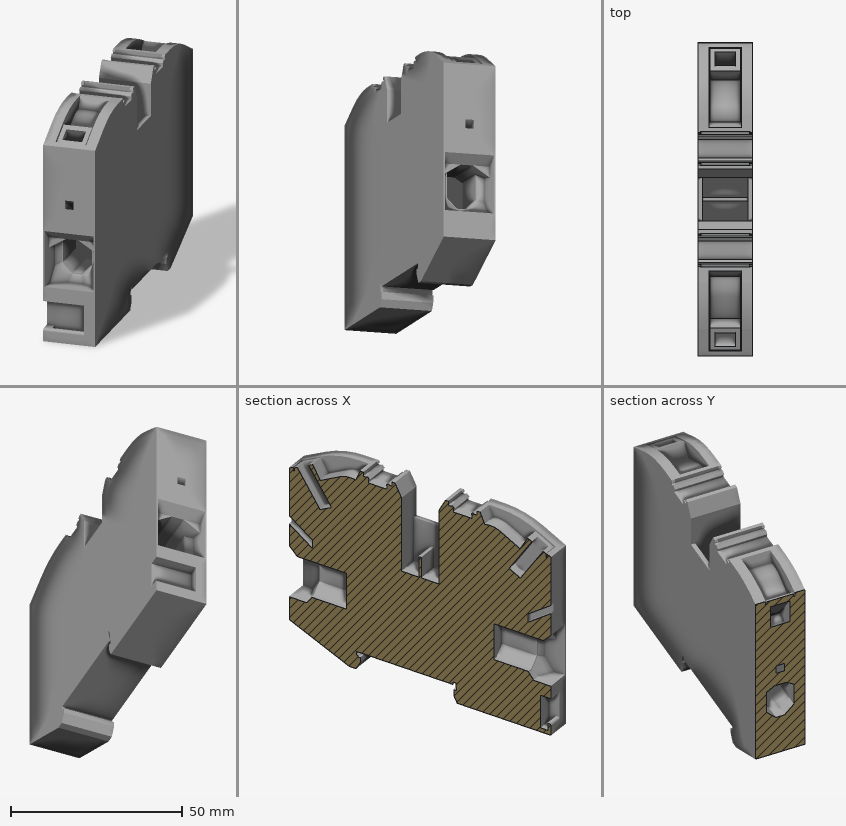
import cadquery as cq
import math


THICKNESS = 16.0
LENGTH = 91.6
HEIGHT = 68.25
HALF_X = THICKNESS / 2
HALF_Y = LENGTH / 2
OVERCUT = 2.0

SHOULDER_Y = 24.4
SHOULDER_ANGLE = math.radians(27.0)
SHOULDER_RADIUS = 30.0
SHOULDER_END_Y = SHOULDER_Y + SHOULDER_RADIUS * math.sin(SHOULDER_ANGLE)
SHOULDER_END_Z = HEIGHT - SHOULDER_RADIUS * (1 - math.cos(SHOULDER_ANGLE))
CORNER_Z = SHOULDER_END_Z - (HALF_Y - SHOULDER_END_Y) * math.tan(SHOULDER_ANGLE)

LIP_Z = 67.55
NOTCH_FLOOR_Z = 66.85
NOTCH_HALF_WIDTH = 4.9
BARB_Z = 66.3
GROOVE_FLOOR_Z = 65.15
GROOVE_FLOOR_HALF_WIDTH = 3.15
GROOVE_Y = 14.83
GROOVE_HALF = [
    (4.75, HEIGHT),
    (4.4, LIP_Z),
    (NOTCH_HALF_WIDTH, LIP_Z),
    (NOTCH_HALF_WIDTH, NOTCH_FLOOR_Z),
    (4.1, NOTCH_FLOOR_Z),
    (3.6, 67.15),
    (2.7, BARB_Z),
    (GROOVE_FLOOR_HALF_WIDTH, BARB_Z),
    (GROOVE_FLOOR_HALF_WIDTH, GROOVE_FLOOR_Z),
]
LIP_FREE_HALF_X = 7.1

SLOT_HALF_Y = 6.4
SLOT_MOUTH_HALF_Y = 8.8
SLOT_MOUTH_Z = 63.8
SLOT_FLOOR_Z = 53.85
BRIDGE_WELL_HALF_X = 6.6
BRIDGE_WELL_DEPTH = 15.0
BRIDGE_WEB = 1.0
BRIDGE_WEB_DROP = 8.0

RAIL_SEAT_Z = 5.95
FOOT_TOE_Y = 24.8
FOOT_SLOPE_Z = 9.0
FOOT_HOOK_Z = 4.4
SPRING_FOOT = [
    (-12.9, 0),
    (-11.7, 2.2),
    (-11.7, FOOT_HOOK_Z),
    (-12.6, FOOT_HOOK_Z),
    (-12.3, 6.8),
    (-11.45, 6.8),
    (-11.45, RAIL_SEAT_Z),
]
FIXED_FOOT = [
    (22.2, RAIL_SEAT_Z),
    (22.2, 5.1),
    (21.5, FOOT_HOOK_Z),
    (20.85, FOOT_HOOK_Z),
    (20.85, 2.75),
    (22.4, 0),
    (FOOT_TOE_Y, 0),
]
SPRING_SLOT_DEPTH = 1.5
SPRING_SLOT_MOUTH_OUTER = SPRING_FOOT[4]
SPRING_SLOT_MOUTH_INNER = SPRING_FOOT[5]
SPRING_SLOT_INNER_END = (-10.6, 9.3)
SPRING_SLOT_TIP = (-11.0, 9.8)
SPRING_SLOT_OUTER_END = (-11.6, 9.5)
SPRING_SLOT_BEND = (-12.2, 8.0)

WINDOW_HALF_X = 4.7
WINDOW_INNER_Y = 21.0
WINDOW_OUTER_Y = 44.3
SHELF_INNER_Y = 37.55
SHELF_RECESS = 0.25
FLOOR_GAP = 0.3
FLOOR_GAP_DEPTH = 1.0
WELL_BOTTOM = (34.9, 60.4)
WELL_CREASE = (28.5, 63.75)
WELL_RIDGE = (22.6, 64.65)
WELL_ARC_MID = (25.7, 64.75)
LATCH_HALF_X = 3.05
LATCH_OUTER_Y = 43.1
LATCH_INNER_Y = 39.25
LATCH_DEPTH = 12.0
LATCH_ANGLE = math.radians(34.0)

ENTRY_HALF_X = 7.55
ENTRY_SIDE_TAPER = 0.17
ENTRY_FLOOR_Z = 16.95
ENTRY_TOP_Z = 34.3
ENTRY_CEILING_Z = 31.5
CORNER_PLATE_DEPTH = 2.8
FUNNEL_DEPTH = 7.8
FUNNEL_FLARE = 1.25
THROAT_HALF_X = 4.7
THROAT_FLOOR_Z = 19.1
THROAT_FLOOR_HALF_X = 1.5
THROAT_TOP_HALF_X = 1.9
THROAT_SHOULDER_Z = 29.75
THROAT_LEDGE = 0.3
THROAT_DEPTH = 20.0
OCTAGON_HALF_TURN = math.radians(22.5)

PROBE_SIZE = 2.65
PROBE_Z = 43.2
PROBE_ANGLE = math.radians(35.0)
PROBE_DEPTH = 8.0

LABEL_END_X = 4.65
LABEL_FLOOR_Z = 3.95
LABEL_TOP_Z = 12.5
LABEL_DEPTH = 3.6
LABEL_LIP_RADIUS = 0.8
LABEL_LIP_THICKNESS = 1.2
TRENCH_START_X = -5.6
TRENCH_FLOOR_Z = 1.5


def surface_z(y):
    """Height of the straight shoulder slope at distance y from the mid-plane."""
    return CORNER_Z + (HALF_Y - y) * math.tan(SHOULDER_ANGLE)


def extrude_x(sketch, x_min, x_max):
    """Extrude a closed YZ outline from x_min to x_max."""
    return sketch.extrude(x_max - x_min).translate((x_min, 0, 0))


def box(x_min, x_max, y_min, y_max, z_min, z_max):
    block = cq.Workplane("XY").box(x_max - x_min, y_max - y_min, z_max - z_min, centered=False)
    return block.translate((x_min, y_min, z_min))


def at_both_ends(cutter):
    """A cutter for the -Y end together with its mirror image for the +Y end."""
    return cutter.union(cutter.mirror("XZ"))


def groove_points(centre_y):
    """Groove outline from its +Y lip to its -Y lip."""
    rising = [(centre_y + d, z) for d, z in GROOVE_HALF]
    falling = [(centre_y - d, z) for d, z in reversed(GROOVE_HALF)]
    return rising + falling


def body():
    arc_mid_y = SHOULDER_Y + SHOULDER_RADIUS * math.sin(SHOULDER_ANGLE / 2)
    arc_mid_z = HEIGHT - SHOULDER_RADIUS * (1 - math.cos(SHOULDER_ANGLE / 2))
    slot = [
        (SLOT_MOUTH_HALF_Y, HEIGHT),
        (SLOT_HALF_Y, SLOT_MOUTH_Z),
        (SLOT_HALF_Y, SLOT_FLOOR_Z),
        (-SLOT_HALF_Y, SLOT_FLOOR_Z),
        (-SLOT_HALF_Y, SLOT_MOUTH_Z),
        (-SLOT_MOUTH_HALF_Y, HEIGHT),
    ]
    top = groove_points(GROOVE_Y) + slot + groove_points(-GROOVE_Y)
    outline = cq.Workplane("YZ").moveTo(HALF_Y, FOOT_SLOPE_Z).lineTo(HALF_Y, CORNER_Z)
    outline = outline.lineTo(SHOULDER_END_Y, SHOULDER_END_Z)
    outline = outline.threePointArc((arc_mid_y, arc_mid_z), (SHOULDER_Y, HEIGHT))
    for point in top:
        outline = outline.lineTo(*point)
    outline = outline.lineTo(-SHOULDER_Y, HEIGHT)
    outline = outline.threePointArc((-arc_mid_y, arc_mid_z), (-SHOULDER_END_Y, SHOULDER_END_Z))
    outline = outline.lineTo(-HALF_Y, CORNER_Z).lineTo(-HALF_Y, 0)
    for point in SPRING_FOOT + FIXED_FOOT:
        outline = outline.lineTo(*point)
    return extrude_x(outline.close(), -HALF_X, HALF_X)


def lip_clearance():
    """Removes the groove lips over the middle of the thickness."""
    strip = box(
        -LIP_FREE_HALF_X, LIP_FREE_HALF_X,
        GROOVE_Y - NOTCH_HALF_WIDTH, GROOVE_Y + NOTCH_HALF_WIDTH,
        LIP_Z, HEIGHT + OVERCUT,
    )
    return at_both_ends(strip)


def bridge_well():
    """Well below the bridge slot, split by a low cross web."""
    bottom_z = SLOT_FLOOR_Z - BRIDGE_WELL_DEPTH
    well = box(
        -BRIDGE_WELL_HALF_X, BRIDGE_WELL_HALF_X, -SLOT_HALF_Y, SLOT_HALF_Y, bottom_z, SLOT_FLOOR_Z
    )
    web = box(
        -BRIDGE_WELL_HALF_X, BRIDGE_WELL_HALF_X, -BRIDGE_WEB / 2, BRIDGE_WEB / 2,
        bottom_z, SLOT_FLOOR_Z - BRIDGE_WEB_DROP,
    )
    return well.cut(web)


def spring_slot():
    """Shallow slanted slot above the spring foot, in the -X face."""
    outline = (
        cq.Workplane("YZ")
        .moveTo(*SPRING_SLOT_MOUTH_INNER)
        .lineTo(*SPRING_SLOT_INNER_END)
        .threePointArc(SPRING_SLOT_TIP, SPRING_SLOT_OUTER_END)
        .lineTo(*SPRING_SLOT_BEND)
        .lineTo(*SPRING_SLOT_MOUTH_OUTER)
        .close()
    )
    return extrude_x(outline, -HALF_X, -HALF_X + SPRING_SLOT_DEPTH)


def latch_hole():
    """Rectangular hole through the window shelf, running down and towards the middle."""
    lean = LATCH_DEPTH * math.tan(LATCH_ANGLE)
    face_rise = (LATCH_OUTER_Y - LATCH_INNER_Y) * math.tan(SHOULDER_ANGLE)
    outer_z = surface_z(LATCH_OUTER_Y)
    inner_z = outer_z + face_rise
    outline = [
        (LATCH_OUTER_Y, outer_z),
        (LATCH_INNER_Y, inner_z),
        (LATCH_INNER_Y - lean, inner_z - LATCH_DEPTH),
        (LATCH_OUTER_Y - lean, outer_z - LATCH_DEPTH),
    ]
    return extrude_x(cq.Workplane("YZ").polyline(outline).close(), -LATCH_HALF_X, LATCH_HALF_X)


def window():
    """Screwdriver window in the +Y shoulder: shelf with latch hole, then the sloped well."""
    drop = SHELF_RECESS / math.cos(SHOULDER_ANGLE)
    outline = (
        cq.Workplane("YZ")
        .moveTo(WINDOW_OUTER_Y, HEIGHT + OVERCUT)
        .lineTo(WINDOW_OUTER_Y, surface_z(WINDOW_OUTER_Y) - drop)
        .lineTo(SHELF_INNER_Y, surface_z(SHELF_INNER_Y) - drop)
        .lineTo(*WELL_BOTTOM)
        .lineTo(*WELL_CREASE)
        .threePointArc(WELL_ARC_MID, WELL_RIDGE)
        .lineTo(WINDOW_INNER_Y, HEIGHT)
        .lineTo(WINDOW_INNER_Y, HEIGHT + OVERCUT)
        .close()
    )
    well = extrude_x(outline, -WINDOW_HALF_X, WINDOW_HALF_X)
    gap_outline = box(
        -WINDOW_HALF_X, WINDOW_HALF_X, WELL_RIDGE[0], WINDOW_OUTER_Y, 0, HEIGHT
    )
    floor_block = box(
        FLOOR_GAP - WINDOW_HALF_X, WINDOW_HALF_X - FLOOR_GAP,
        0, WINDOW_OUTER_Y - FLOOR_GAP, 0, HEIGHT,
    )
    gap = well.translate((0, 0, -FLOOR_GAP_DEPTH)).intersect(gap_outline).cut(floor_block)
    return well.union(gap).union(latch_hole())


def throat_points(flare):
    """Octagonal throat outline (X, Z), its lower five sides moved outward by flare."""
    spread = flare * math.tan(OCTAGON_HALF_TURN)
    lower_side_z = THROAT_FLOOR_Z + THROAT_HALF_X - THROAT_FLOOR_HALF_X
    top_slope = (ENTRY_CEILING_Z - THROAT_SHOULDER_Z) / (THROAT_HALF_X - THROAT_TOP_HALF_X)
    half = [
        (THROAT_FLOOR_HALF_X + spread, THROAT_FLOOR_Z - flare),
        (THROAT_HALF_X + flare, lower_side_z - spread),
        (THROAT_HALF_X + flare, THROAT_SHOULDER_Z - flare * top_slope),
        (THROAT_TOP_HALF_X, ENTRY_CEILING_Z),
    ]
    return half + [(-x, z) for x, z in reversed(half)]


def wire_entry():
    """Tapered mouth, faceted funnel and octagonal throat in the -Y face."""
    face_y = -HALF_Y
    funnel_y = face_y + FUNNEL_DEPTH
    back_half_x = ENTRY_HALF_X - ENTRY_SIDE_TAPER * FUNNEL_DEPTH
    plan = [
        (-ENTRY_HALF_X, face_y),
        (ENTRY_HALF_X, face_y),
        (back_half_x, funnel_y),
        (-back_half_x, funnel_y),
    ]
    side_profile = [
        (face_y, ENTRY_FLOOR_Z),
        (funnel_y, ENTRY_FLOOR_Z),
        (funnel_y, ENTRY_CEILING_Z),
        (face_y + CORNER_PLATE_DEPTH, ENTRY_CEILING_Z),
        (face_y, ENTRY_TOP_Z),
    ]
    mouth = cq.Workplane("XY").polyline(plan).close().extrude(HEIGHT)
    profile = extrude_x(cq.Workplane("YZ").polyline(side_profile).close(), -HALF_X, HALF_X)
    mouth = mouth.intersect(profile)
    funnel = (
        cq.Workplane("XZ", origin=(0, funnel_y, 0))
        .polyline(throat_points(0)).close()
        .workplane(offset=FUNNEL_DEPTH)
        .polyline(throat_points(FUNNEL_DEPTH * FUNNEL_FLARE)).close()
        .loft(ruled=True)
    )
    plate_y = face_y + CORNER_PLATE_DEPTH
    front_slab = box(-HALF_X, HALF_X, face_y, plate_y, 0, HEIGHT)
    throat = (
        cq.Workplane("XZ", origin=(0, funnel_y, 0))
        .polyline(throat_points(-THROAT_LEDGE)).close()
        .extrude(FUNNEL_DEPTH - THROAT_DEPTH)
    )
    return mouth.intersect(funnel.union(front_slab)).union(throat)


def probe_hole():
    """Square test hole in the -Y face, running inward and downward."""
    slope = math.tan(PROBE_ANGLE)
    half = PROBE_SIZE / 2
    outline = [
        (-HALF_Y, PROBE_Z - half),
        (-HALF_Y, PROBE_Z + half),
        (-HALF_Y + PROBE_DEPTH, PROBE_Z + half - PROBE_DEPTH * slope),
        (-HALF_Y + PROBE_DEPTH, PROBE_Z - half - PROBE_DEPTH * slope),
    ]
    return extrude_x(cq.Workplane("YZ").polyline(outline).close(), -half, half)


def label_pocket():
    """Pocket at the foot of the -Y face, open to -X, with a rounded lip and a trench."""
    lip_y = -HALF_Y + LABEL_LIP_RADIUS
    back_y = -HALF_Y + LABEL_DEPTH
    lip_z = LABEL_FLOOR_Z - LABEL_LIP_RADIUS
    bulge = LABEL_LIP_RADIUS * math.cos(math.pi / 4)
    outline = (
        cq.Workplane("YZ")
        .moveTo(-HALF_Y, LABEL_TOP_Z)
        .lineTo(-HALF_Y, lip_z)
        .threePointArc((lip_y - bulge, lip_z + bulge), (lip_y, LABEL_FLOOR_Z))
        .lineTo(back_y, LABEL_FLOOR_Z)
        .lineTo(back_y, LABEL_TOP_Z)
        .close()
    )
    pocket = extrude_x(outline, -HALF_X, LABEL_END_X)
    trench = box(
        TRENCH_START_X, LABEL_END_X,
        -HALF_Y + LABEL_LIP_THICKNESS, back_y,
        TRENCH_FLOOR_Z, LABEL_FLOOR_Z,
    )
    return pocket.union(trench)


result = body()
result = result.cut(lip_clearance())
result = result.cut(bridge_well())
result = result.cut(spring_slot())
result = result.cut(at_both_ends(window()))
result = result.cut(at_both_ends(wire_entry()))
result = result.cut(at_both_ends(probe_hole()))
result = result.cut(label_pocket())